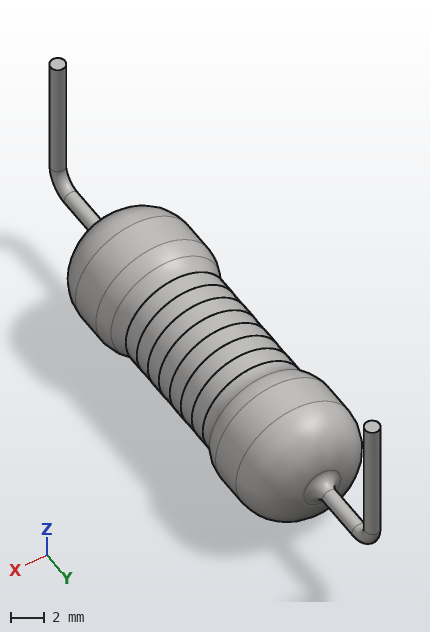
import cadquery as cq
import math

overall_length = 36.0
overall_height = 14.5
cap_radius = 8.4 / 2
barrel_radius = 7.13 / 2
band_radius = 7.15 / 2
wire_radius = 1.0 / 2

band_pitch = 1.22
band_count = 4
middle_end = band_pitch / 2
barrel_half_length = (2 * band_count - 1) * band_pitch / 2
shoulder_end = 6.65
dome_start = 8.93

dome_radius = 3.0
root_fillet = 0.83
bend_radius = 1.48

shoulder_half_run = (shoulder_end - barrel_half_length) / 2
shoulder_half_rise = (cap_radius - barrel_radius) / 2
shoulder_arc_radius = (shoulder_half_run**2 + shoulder_half_rise**2) / (2 * shoulder_half_rise)
shoulder_middle = barrel_half_length + shoulder_half_run
shoulder_middle_radius = barrel_radius + shoulder_half_rise

dome_center_radius = cap_radius - dome_radius
fillet_center_radius = wire_radius + root_fillet
center_distance = dome_radius + root_fillet
center_rise = fillet_center_radius - dome_center_radius
wire_start = dome_start + math.sqrt(center_distance**2 - center_rise**2)
contact_ratio = dome_radius / center_distance
contact_radius = dome_center_radius + contact_ratio * center_rise
contact_station = dome_start + contact_ratio * (wire_start - dome_start)

leg_station = overall_length / 2 - wire_radius
bend_start = leg_station - bend_radius
leg_top = overall_height - cap_radius


def make_half_body():
    """Revolve the body from its middle gap to the +Y end, with the fillet at the wire root."""
    profile = (
        cq.Workplane("XY")
        .moveTo(0, middle_end)
        .lineTo(barrel_radius, middle_end)
        .lineTo(barrel_radius, barrel_half_length)
        .radiusArc((shoulder_middle_radius, shoulder_middle), shoulder_arc_radius)
        .radiusArc((cap_radius, shoulder_end), -shoulder_arc_radius)
        .lineTo(cap_radius, dome_start)
        .radiusArc((contact_radius, contact_station), -dome_radius)
        .radiusArc((wire_radius, wire_start), root_fillet)
        .lineTo(0, wire_start)
        .close()
    )
    return profile.revolve(360, (0, 0, 0), (0, 1, 0))


def make_lead():
    """Sweep the bent wire, starting inside the +Y end of the body."""
    path = (
        cq.Workplane("YZ")
        .moveTo(dome_start, 0)
        .lineTo(bend_start, 0)
        .radiusArc((leg_station, bend_radius), -bend_radius)
        .lineTo(leg_station, leg_top)
    )
    section = cq.Workplane("XZ", origin=(0, dome_start, 0)).circle(wire_radius)
    return section.sweep(path)


def make_ring(start, radius):
    """Make one disk, a band pitch long, beginning at the given Y station."""
    plane = cq.Plane(origin=(0, start, 0), xDir=(1, 0, 0), normal=(0, 1, 0))
    return cq.Workplane(plane).circle(radius).extrude(band_pitch)


half = make_half_body().union(make_lead())
result = make_ring(-middle_end, barrel_radius)

for index in range(band_count):
    band_start = -barrel_half_length + 2 * index * band_pitch
    result = result.union(make_ring(band_start, band_radius))

result = result.union(half).union(half.mirror("XZ"))